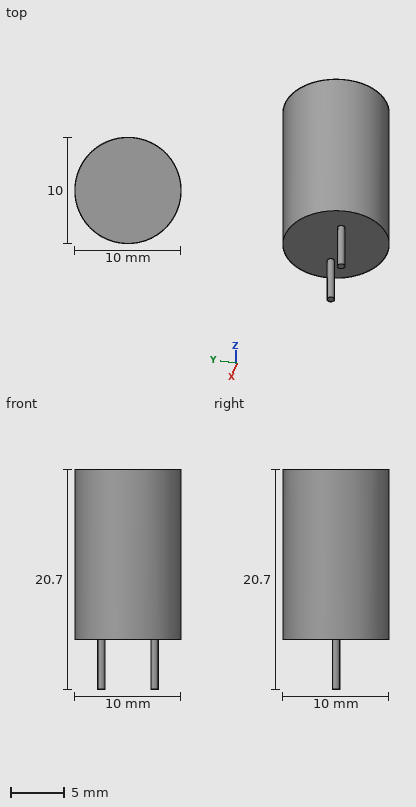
import cadquery as cq

total_height = 20.68
body_diameter = 10.0
lead_diameter = 0.7
lead_spacing = 5.0
lead_length = 4.67

body_height = total_height - lead_length


def make_body():
    """Plain cylindrical body standing on the plane Z = 0."""
    return cq.Workplane("XY").circle(body_diameter / 2).extrude(body_height)


def make_lead(x):
    """Round lead hanging from the underside of the body at the given X."""
    return cq.Workplane("XY").center(x, 0).circle(lead_diameter / 2).extrude(-lead_length)


body = make_body()
leads = [make_lead(side * lead_spacing / 2) for side in (-1, 1)]

result = cq.Compound.makeCompound([body.val(), *[lead.val() for lead in leads]])